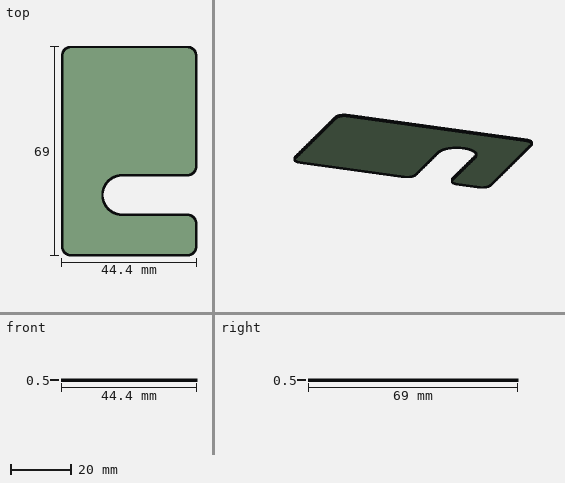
import cadquery as cq

plate_width = 44.4
plate_length = 69.0
plate_thickness = 0.5
corner_radius = 3.0

slot_width = 13.0
slot_radius = slot_width / 2
slot_end_wall = 13.4
lower_arm_width = 13.5

right_x = plate_width / 2
slot_bottom_y = -plate_length / 2 + lower_arm_width
slot_top_y = slot_bottom_y + slot_width
slot_center_y = slot_bottom_y + slot_radius
slot_end_x = -plate_width / 2 + slot_end_wall
slot_arc_x = slot_end_x + slot_radius


def make_plate():
    return cq.Workplane("XY").rect(plate_width, plate_length).extrude(plate_thickness)


def make_slot():
    return (
        cq.Workplane("XY")
        .moveTo(right_x, slot_bottom_y)
        .lineTo(slot_arc_x, slot_bottom_y)
        .threePointArc((slot_end_x, slot_center_y), (slot_arc_x, slot_top_y))
        .lineTo(right_x, slot_top_y)
        .close()
        .extrude(plate_thickness)
    )


slotted_plate = make_plate().cut(make_slot())
side_corners = slotted_plate.faces("<X or >X").edges("|Z")
result = side_corners.fillet(corner_radius)